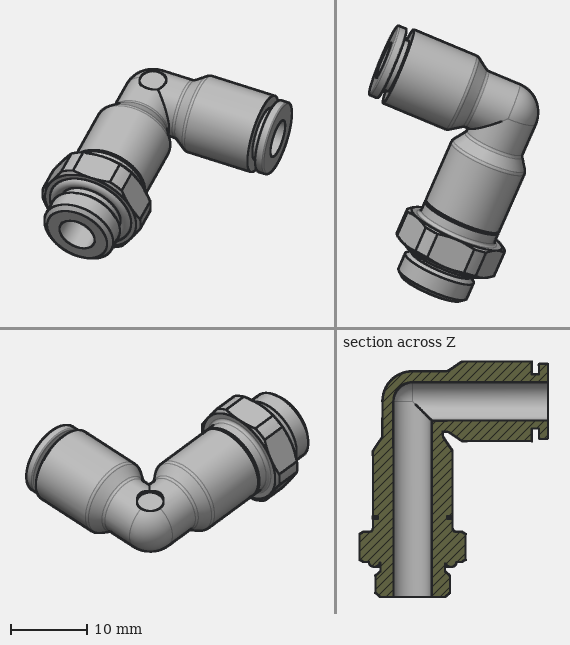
import cadquery as cq
import math


overall_length = 31.0

stem_radius = 4.0
body_radius = 5.27
shoulder_start = 4.65
shoulder_end = 6.5
shoulder_blend = 0.75
bore_radius = 2.5

badge_radius = 1.77
badge_height = 3.55

push_body_end = 15.7
release_neck_radius = 3.6
release_flange_radius = 4.95
release_flange_thickness = 1.25
release_flange_round = 0.2
push_end = 17.82

thread_end = overall_length - body_radius
swivel_body_end = 15.13
swivel_gap = 0.28
swivel_gap_radius = 4.6
collar_flare = 0.43

hex_sides = 6
hex_start = 17.1
hex_thickness = 4.03
hex_across_flats = 13.0
hex_corner_radius = 7.0
hex_chamfer_angle = 30.0
hex_end = hex_start + hex_thickness

seal_radius = 5.8
seal_height = 0.65
thread_radius = 4.93
thread_root_radius = 4.28
thread_chamfer = 0.55
thread_relief_end = 22.35


def revolve_along_arm(profile):
    """Spin a closed (radius, -distance) outline about the Y axis."""
    return profile.close().revolve(360, (0, 0, 0), (0, 1, 0))


def turned(points):
    """Turn a solid from (radius, distance) points, closed back to the axis at both ends."""
    outline = [(0, points[0][1])] + points + [(0, points[-1][1])]
    return revolve_along_arm(cq.Workplane("XY").polyline([(r, -d) for r, d in outline]))


def to_push_arm(solid):
    """Swing a solid built along -Y round onto +X."""
    return solid.rotate((0, 0, 0), (0, 0, 1), 90)


def sleeve(body_end):
    """Slim stem widening through a blended cone into the full body."""
    blank = turned([
        (stem_radius, 0),
        (stem_radius, shoulder_start),
        (body_radius, shoulder_end),
        (body_radius, body_end),
    ])
    between_ends = cq.selectors.BoxSelector(
        (-body_radius, -(shoulder_end + body_end) / 2, -body_radius),
        (body_radius, -shoulder_start / 2, body_radius),
    )
    return blank.edges("%CIRCLE").edges(between_ends).fillet(shoulder_blend)


def release_ring():
    """Flanged release ring at the mouth of the push-in arm."""
    neck = turned([(release_neck_radius, push_body_end), (release_neck_radius, push_end)])
    flange_start = push_end - release_flange_thickness
    flange = turned([(release_flange_radius, flange_start), (release_flange_radius, push_end)])
    return neck.union(flange.edges("%CIRCLE").fillet(release_flange_round))


def swivel_collar():
    """Narrow gap, then a collar that flares concavely into the hexagon."""
    collar_start = swivel_body_end + swivel_gap
    flare_start = hex_start - collar_flare
    flare_radius = body_radius + collar_flare
    bulge = collar_flare * (1 - math.sqrt(0.5))
    gap = turned([(swivel_gap_radius, swivel_body_end), (swivel_gap_radius, collar_start)])
    collar = revolve_along_arm(
        cq.Workplane("XY")
        .moveTo(0, -collar_start)
        .lineTo(body_radius, -collar_start)
        .lineTo(body_radius, -flare_start)
        .threePointArc((body_radius + bulge, -hex_start + bulge), (flare_radius, -hex_start))
        .lineTo(0, -hex_start)
    )
    return gap.union(collar)


def hexagon():
    """Hexagon with flats facing +Z and -Z, corners turned to a cylinder, and conical end chamfers."""
    flat_radius = hex_across_flats / 2
    hex_across_corners = hex_across_flats / math.cos(math.pi / hex_sides)
    chamfer_depth = (hex_corner_radius - flat_radius) * math.tan(math.radians(hex_chamfer_angle))
    prism = (
        cq.Workplane("XZ", origin=(0, -hex_start, 0))
        .polygon(hex_sides, hex_across_corners)
        .extrude(hex_thickness)
    )
    envelope = turned([
        (flat_radius, hex_start),
        (hex_corner_radius, hex_start + chamfer_depth),
        (hex_corner_radius, hex_end - chamfer_depth),
        (flat_radius, hex_end),
    ])
    return prism.intersect(envelope)


def seal_ring():
    """Rounded sealing ring standing out of the hexagon face around the thread root."""
    crown_radius = (seal_radius + thread_root_radius) / 2
    return revolve_along_arm(
        cq.Workplane("XY")
        .moveTo(seal_radius, -hex_end)
        .threePointArc((crown_radius, -hex_end - seal_height), (thread_root_radius, -hex_end))
    )


def thread():
    """Plain thread cylinder, chamfered at both ends, beyond a root-diameter relief."""
    return turned([
        (thread_root_radius, hex_end),
        (thread_root_radius, thread_relief_end),
        (thread_radius, thread_relief_end + thread_chamfer),
        (thread_radius, thread_end - thread_chamfer),
        (thread_root_radius, thread_end),
    ])


def passage():
    """Cutter for the bore through both arms, rounded at the bend."""
    thread_bore = turned([(bore_radius, 0), (bore_radius, thread_end)])
    push_bore = to_push_arm(turned([(bore_radius, 0), (bore_radius, push_end)]))
    return cq.Workplane("XY").sphere(bore_radius).union(thread_bore).union(push_bore)


def badge_recess():
    """Cutter for the round flat on top of the bend."""
    depth = stem_radius - badge_height
    return cq.Workplane("XY", origin=(0, 0, badge_height)).circle(badge_radius).extrude(depth)


threaded_arm = sleeve(swivel_body_end)
for piece in (swivel_collar(), hexagon(), seal_ring(), thread()):
    threaded_arm = threaded_arm.union(piece)
push_arm = to_push_arm(sleeve(push_body_end).union(release_ring()))
bend = cq.Workplane("XY").sphere(stem_radius)

result = bend.union(threaded_arm).union(push_arm).cut(passage()).cut(badge_recess())